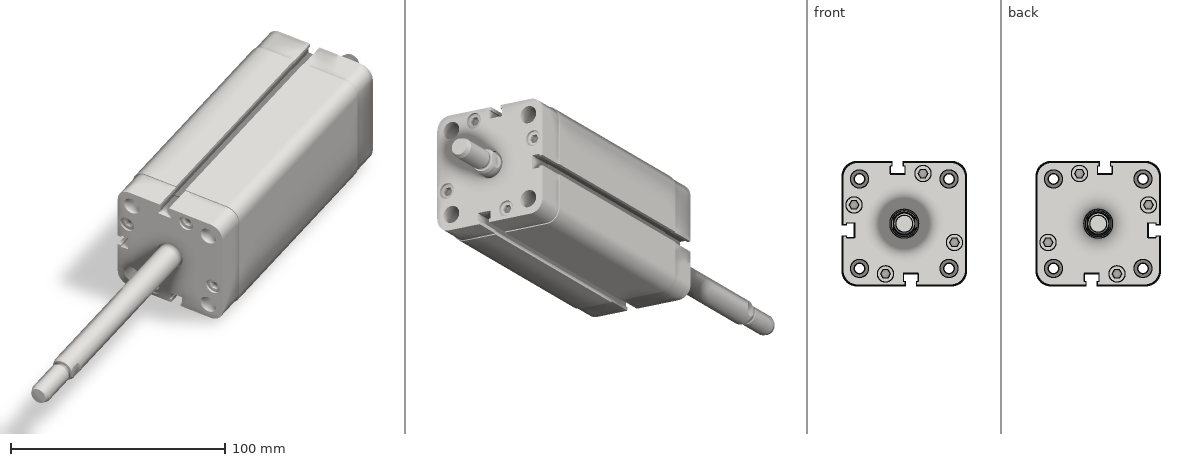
import cadquery as cq
import math


total_length = 282.5
rear_rod_length = 28.2
cap_length = 14.7
tube_length = 106.2
rear_tip_y = total_length / 2
rear_face_y = rear_tip_y - rear_rod_length
tube_rear_y = rear_face_y - cap_length
tube_front_y = tube_rear_y - tube_length
front_face_y = tube_front_y - cap_length
housing_length = rear_face_y - front_face_y

tube_width = 58.2
tube_corner_radius = 7.0
cap_inset = 0.5
cap_width = tube_width - 2 * cap_inset
cap_corner_radius = tube_corner_radius - cap_inset

slot_offset = 3.0
slot_mouth_width = 5.0
slot_inner_width = 6.8
slot_lip = 1.7
slot_depth = 5.6

mount_spacing = 41.8
mount_hole_diameter = 4.8
mount_bore_diameter = 8.5
mount_bore_depth = 14.7

screw_axis_offset = 23.5
screw_side_offset = 8.8
screw_bore_diameter = 7.5
screw_recess = 1.0
socket_across_flats = 4.0
socket_depth = 3.5

rod_bore_diameter = 13.5
rod_bore_depth = 1.7

rod_diameter = 12.1
thread_diameter = 10.0
thread_tip_diameter = 8.0
thread_tip_chamfer = 2.5
thread_length = 19.2
neck_diameter = 8.0
neck_length = 2.3
shoulder_diameter = 10.7
shoulder_chamfer = 1.7
shoulder_to_tip = thread_length + neck_length
flat_across = 10.2
flat_length = 4.2
flat_cutter_radius = 2.8


def xz_plane(y):
    """Sketch plane at station y: local x = X, local y = Z, normal toward -Y."""
    return cq.Workplane("XZ", origin=(0, y, 0))


def housing_block(width, corner_radius, rear_y, length):
    """Square block with rounded long edges, running from rear_y toward -Y."""
    block = xz_plane(rear_y).rect(width, width).extrude(length)
    return block.edges("|Y").fillet(corner_radius)


def slot_cutter(width, rear_y, length):
    """Undercut groove in the top side of a block of the given width."""
    top = width / 2
    mouth = xz_plane(rear_y).center(-slot_offset, top - slot_lip)
    mouth = mouth.rect(slot_mouth_width, 2 * slot_lip).extrude(length)
    inner_height = slot_depth - slot_lip
    inner = xz_plane(rear_y).center(-slot_offset, top - slot_lip - inner_height / 2)
    inner = inner.rect(slot_inner_width, inner_height).extrude(length)
    return mouth.union(inner)


def slotted_block(width, corner_radius, rear_y, length):
    """Block with slots in its top, left (-X) and bottom sides."""
    block = housing_block(width, corner_radius, rear_y, length)
    cutter = slot_cutter(width, rear_y, length)
    for angle in (0, -90, -180):
        block = block.cut(cutter.rotate((0, 0, 0), (0, 1, 0), angle))
    return block


def make_housing():
    """Tube between two slightly smaller end caps."""
    tube = slotted_block(tube_width, tube_corner_radius, tube_rear_y, tube_length)
    rear_cap = slotted_block(cap_width, cap_corner_radius, rear_face_y, cap_length)
    front_cap = slotted_block(cap_width, cap_corner_radius, tube_front_y, cap_length)
    return tube.union(rear_cap).union(front_cap)


def mount_hole_cutter():
    """Four through holes, counterbored from both end faces."""
    def corners(y):
        return xz_plane(y).rect(mount_spacing, mount_spacing, forConstruction=True).vertices()

    holes = corners(rear_face_y).circle(mount_hole_diameter / 2).extrude(housing_length)
    for start_y in (rear_face_y, front_face_y + mount_bore_depth):
        bores = corners(start_y).circle(mount_bore_diameter / 2).extrude(mount_bore_depth)
        holes = holes.union(bores)
    return holes


def screw_cutter():
    """Recessed screw heads with hexagon sockets, in both end faces."""
    first_angle = math.atan2(screw_axis_offset, screw_side_offset)
    radius = math.hypot(screw_axis_offset, screw_side_offset)
    angles = [first_angle + k * math.pi / 2 for k in range(4)]
    centres = [(radius * math.cos(a), radius * math.sin(a)) for a in angles]
    socket_corner_radius = socket_across_flats / 2 / math.cos(math.pi / 6)

    cutter = cq.Workplane()
    for face_y, inward in ((front_face_y, -1), (rear_face_y, 1)):
        plane = xz_plane(face_y).pushPoints(centres)
        recess = plane.circle(screw_bore_diameter / 2).extrude(inward * screw_recess)
        hexagon = cq.Sketch().regularPolygon(socket_corner_radius, 6, 90)
        plane = xz_plane(face_y).pushPoints(centres)
        socket = plane.placeSketch(hexagon).extrude(inward * socket_depth)
        cutter = cutter.add(recess.union(socket))
    return cutter.combine()


def rod_bore_cutter():
    """Shallow bores that leave a narrow ring gap around the rod in both end faces."""
    front = xz_plane(front_face_y).circle(rod_bore_diameter / 2).extrude(-rod_bore_depth)
    rear = xz_plane(rear_face_y).circle(rod_bore_diameter / 2).extrude(rod_bore_depth)
    return front.union(rear)


def rod_half(tip_y):
    """Half of the rod, turned about Y, from the middle of the part to the tip at +tip_y."""
    thread_start = tip_y - thread_length
    shoulder = tip_y - shoulder_to_tip
    half = (
        cq.Workplane("XY")
        .moveTo(0, 0)
        .lineTo(rod_diameter / 2, 0)
        .lineTo(rod_diameter / 2, shoulder - shoulder_chamfer)
        .lineTo(shoulder_diameter / 2, shoulder)
        .lineTo(neck_diameter / 2, shoulder)
        .lineTo(neck_diameter / 2, thread_start)
        .lineTo(thread_diameter / 2, thread_start)
        .lineTo(thread_diameter / 2, tip_y - thread_tip_chamfer)
        .lineTo(thread_tip_diameter / 2, tip_y)
        .lineTo(0, tip_y)
        .close()
        .revolve(360, (0, 0, 0), (0, 1, 0))
    )
    flat_start = shoulder - flat_length
    flat_x = flat_across / 2
    runout_x = flat_x + flat_cutter_radius
    runout_end = (runout_x, flat_start - flat_cutter_radius)
    flat = (
        cq.Workplane("XY", origin=(0, 0, -rod_diameter / 2))
        .moveTo(flat_x, shoulder)
        .lineTo(flat_x, flat_start)
        .radiusArc(runout_end, -flat_cutter_radius)
        .lineTo(runout_x, shoulder)
        .close()
        .extrude(rod_diameter)
    )
    return half.cut(flat).cut(flat.mirror("YZ"))


def make_rod():
    """Rod through the whole part, with the same end at both tips."""
    rear = rod_half(rear_tip_y)
    return rear.union(rear.mirror("XZ"))


housing = make_housing().cut(mount_hole_cutter()).cut(screw_cutter()).cut(rod_bore_cutter())
result = housing.union(make_rod()).solids()